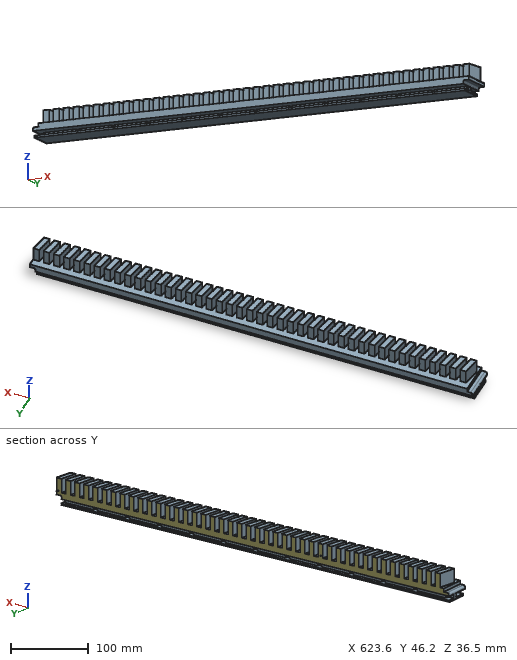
import cadquery as cq
import math

total_length = 623.57
plate_width = 46.23
total_height = 36.53

plate_bottom = 7.9
plate_top = 17.46
lap_length = 7.94
lap_height = (plate_bottom + plate_top) / 2
lip_corner_radius = 3.5
lap_root_radius = 2.4
lower_length = total_length - lap_length

tooth_count = 43
tooth_pitch = 14.303
tooth_thickness = 8.245
tooth_width = 25.4
helix_angle = 9.0
first_tooth_start = 10.13

strip_width = 36.83
strip_thickness = 2.7

web_width = 5.6
block_depth = 15.9
notch_length = 4.85
notch_pitch = 50.8
notch_count = 13
first_notch_center = 6.03


def box(start, end, width, bottom, top):
    """Block centred on Y = 0 between two X positions and two heights."""
    size = (end - start, width, top - bottom)
    block = cq.Workplane("XY").box(*size, centered=(False, True, False))
    return block.translate((start, 0, bottom))


def make_plate():
    """Plate whose left lower lip fits under the upper lip at the right of the next plate."""
    corner_offset = lip_corner_radius * math.sqrt(0.5)
    root_offset = lap_root_radius * math.sqrt(0.5)
    corner_center = (lip_corner_radius, lap_height - lip_corner_radius)
    root_center = (lower_length + lap_root_radius, lap_height - lap_root_radius)
    outline = (
        cq.Workplane("XZ")
        .moveTo(0, plate_bottom)
        .lineTo(lower_length, plate_bottom)
        .lineTo(lower_length, root_center[1])
        .threePointArc(
            (root_center[0] - root_offset, root_center[1] + root_offset),
            (root_center[0], lap_height),
        )
        .lineTo(total_length, lap_height)
        .lineTo(total_length, plate_top)
        .lineTo(lap_length, plate_top)
        .lineTo(lap_length, lap_height)
        .lineTo(corner_center[0], lap_height)
        .threePointArc(
            (corner_center[0] - corner_offset, corner_center[1] + corner_offset),
            (0, corner_center[1]),
        )
        .close()
    )
    return outline.extrude(plate_width / 2, both=True)


def add_teeth(body):
    """Upright teeth, sheared along X by the helix angle."""
    half_width = tooth_width / 2
    shear = tooth_width * math.tan(math.radians(helix_angle))
    tooth = (
        cq.Workplane("XY")
        .polyline(
            [
                (0, -half_width),
                (tooth_thickness, -half_width),
                (tooth_thickness + shear, half_width),
                (shear, half_width),
            ]
        )
        .close()
        .extrude(total_height - plate_top)
    )
    for index in range(tooth_count):
        start = first_tooth_start + index * tooth_pitch
        body = body.union(tooth.translate((start, 0, plate_top)))
    return body


def make_neck():
    """Continuous centre web, thickened by blocks between evenly spaced notches."""
    neck = box(0, lower_length, web_width, strip_thickness, plate_bottom)
    for index in range(notch_count - 1):
        notch_center = first_notch_center + index * notch_pitch
        start = notch_center + notch_length / 2
        end = notch_center + notch_pitch - notch_length / 2
        neck = neck.union(box(start, end, block_depth, strip_thickness, plate_bottom))
    return neck


strip = box(0, lower_length, strip_width, 0, strip_thickness)
result = add_teeth(make_plate()).union(make_neck()).union(strip)